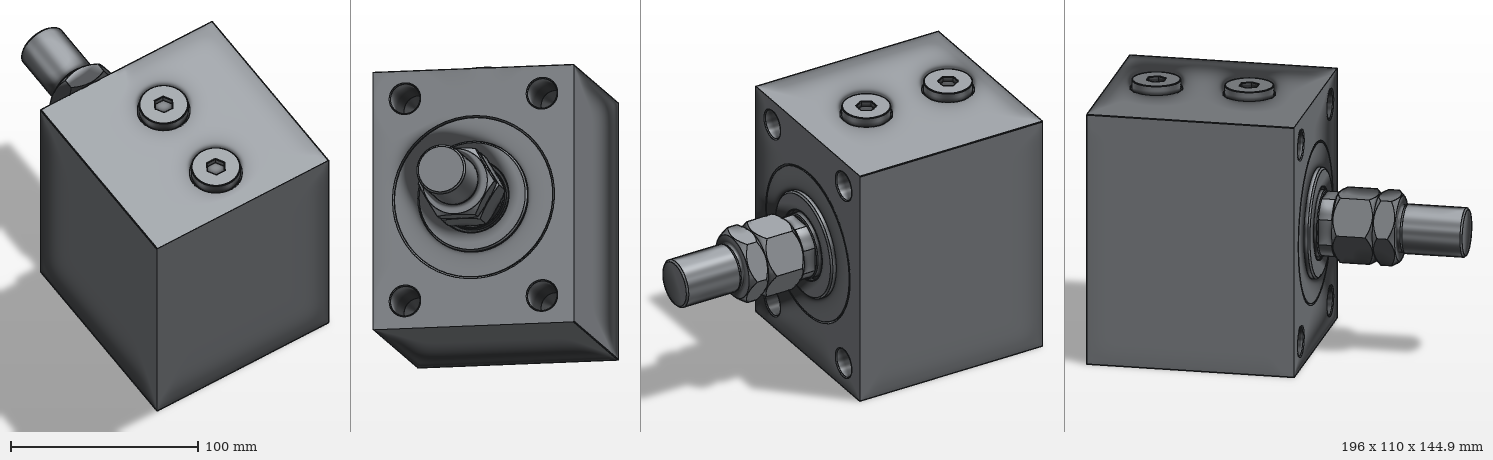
import cadquery as cq
import math


overall_length = 196.0
front_reach = 82.7
block_length = overall_length - front_reach
block_width = 110.0
block_height = 140.0
block_edge_chamfer = 0.4

mount_spacing_y = 74.9
mount_spacing_z = 110.0
mount_radius = 8.0
mount_chamfer = 0.5
mount_depth = 35.3
drill_tip_angle = 118.0

gland_radius = 43.3
gland_depth = 19.6
gland_bore_chamfer = 1.0
collar_radius = 30.0
collar_height = 3.1
collar_chamfer = 1.0
wiper_bore_radius = 19.6
wiper_bore_depth = 3.1
wiper_mouth_radius = 20.0
wiper_mouth_depth = 0.5

rod_radius = 18.0
rod_front = 4.9
rod_shoulder_chamfer = 0.5
neck_radius = 17.5
neck_front = 12.5
neck_end_chamfer = 0.4
neck_across_flats = 32.0

hex_across_flats = 36.0
hex_face_radius = 17.6
thin_hex_length = 12.2
stud_length = 35.9
stud_radius = 13.3
stud_tip_chamfer = 1.0
undercut_radius = 12.7
undercut_length = 3.1
undercut_runout = 1.2
undercut_fillet = 0.8

plug_x = (36.3, 87.0)
plug_radius = 13.1
plug_height = 4.9
plug_depth = 11.8
plug_chamfer = 0.4
socket_across_flats = 9.0
socket_depth = 3.1
socket_chamfer = 0.4
spot_face_radius = 14.1
spot_face_depth = 1.0

block_top = block_height / 2
hex_across_corners = hex_across_flats / math.cos(math.pi / 6)
socket_across_corners = socket_across_flats / math.cos(math.pi / 6)
socket_mouth_across_corners = (socket_across_flats + 2 * socket_chamfer) / math.cos(math.pi / 6)
thin_hex_x = stud_length - front_reach
thick_hex_x = thin_hex_x + thin_hex_length
thick_hex_length = -neck_front - thick_hex_x


def cylinder_x(start, length, radius):
    """Cylinder on the rod axis, from x = start toward +X."""
    return cq.Workplane("YZ", origin=(start, 0, 0)).circle(radius).extrude(length)


def revolve_about_x(outline):
    """Revolve a closed outline of (x, radius) points about the rod axis."""
    return outline.close().revolve(360, (0, 0, 0), (1, 0, 0))


def make_mounting_hole():
    """Cutter for one drilled hole with a chamfered mouth and a conical bottom, on the rod axis."""
    tip_depth = mount_radius / math.tan(math.radians(drill_tip_angle / 2))
    outline = (
        cq.Workplane("XY")
        .lineTo(0, mount_radius + mount_chamfer)
        .lineTo(mount_chamfer, mount_radius)
        .lineTo(mount_depth, mount_radius)
        .lineTo(mount_depth + tip_depth, 0)
    )
    return revolve_about_x(outline)


def make_housing():
    block = (
        cq.Workplane("XY")
        .box(block_length, block_width, block_height, centered=(False, True, True))
        .edges("|X")
        .chamfer(block_edge_chamfer)
    )

    seat = cylinder_x(0, gland_depth, gland_radius)
    mouth = revolve_about_x(
        cq.Workplane("XY")
        .lineTo(0, gland_radius + gland_bore_chamfer)
        .lineTo(gland_bore_chamfer, gland_radius)
        .lineTo(gland_bore_chamfer, 0)
    )
    block = block.cut(seat).cut(mouth)

    hole = make_mounting_hole()
    for y in (-mount_spacing_y / 2, mount_spacing_y / 2):
        for z in (-mount_spacing_z / 2, mount_spacing_z / 2):
            block = block.cut(hole.translate((0, y, z)))

    ports = cq.Workplane("XY", origin=(0, 0, block_top)).pushPoints([(x, 0) for x in plug_x])
    block = block.cut(ports.circle(plug_radius).extrude(-plug_depth))
    return block.cut(ports.circle(spot_face_radius).extrude(-spot_face_depth))


def make_gland():
    disc = cylinder_x(0, gland_depth, gland_radius)
    collar = cylinder_x(-collar_height, collar_height, collar_radius).faces("<X").chamfer(collar_chamfer)
    bore = cylinder_x(-collar_height, collar_height + gland_depth, rod_radius)
    wiper_bore = cylinder_x(-collar_height, wiper_bore_depth, wiper_bore_radius)
    wiper_mouth = cylinder_x(-collar_height, wiper_mouth_depth, wiper_mouth_radius)
    return disc.union(collar).cut(bore).cut(wiper_bore).cut(wiper_mouth)


def make_rod():
    shank = cylinder_x(-rod_front, rod_front + gland_depth, rod_radius).faces("<X").chamfer(rod_shoulder_chamfer)
    neck_length = neck_front - rod_front
    neck = cylinder_x(-neck_front, neck_length, neck_radius).faces("<X").chamfer(neck_end_chamfer)
    flats = cq.Workplane("YZ", origin=(-neck_front, 0, 0)).rect(neck_across_flats, neck_across_flats)
    return shank.union(neck.intersect(flats.extrude(neck_length)))


def make_hexagon(start, length):
    """Hexagon with two corners on the Y axis and both ends chamfered at 45 degrees."""
    prism = cq.Workplane("YZ", origin=(start, 0, 0)).polygon(6, hex_across_corners).extrude(length)
    corner_radius = hex_across_corners / 2
    chamfer = corner_radius - hex_face_radius
    envelope = cylinder_x(start, length, corner_radius).faces("<X or >X").chamfer(chamfer)
    return prism.intersect(envelope)


def make_adapter():
    """Stud with an undercut, behind it a thin and a thick hexagon that end at the rod."""
    tip_x = -front_reach
    undercut_x = thin_hex_x - undercut_length
    arc_offset = undercut_fillet * (1 - math.sqrt(0.5))
    stud = revolve_about_x(
        cq.Workplane("XY")
        .moveTo(tip_x, 0)
        .lineTo(tip_x, stud_radius - stud_tip_chamfer)
        .lineTo(tip_x + stud_tip_chamfer, stud_radius)
        .lineTo(undercut_x, stud_radius)
        .lineTo(undercut_x + undercut_runout, undercut_radius)
        .lineTo(thin_hex_x - undercut_fillet, undercut_radius)
        .threePointArc(
            (thin_hex_x - arc_offset, undercut_radius + arc_offset),
            (thin_hex_x, undercut_radius + undercut_fillet),
        )
        .lineTo(thin_hex_x, 0)
    )
    thin_hex = make_hexagon(thin_hex_x, thin_hex_length)
    thick_hex = make_hexagon(thick_hex_x, thick_hex_length)
    return stud.union(thin_hex).union(thick_hex)


def make_plug(x):
    plug = (
        cq.Workplane("XY", origin=(x, 0, block_top - plug_depth))
        .circle(plug_radius)
        .extrude(plug_depth + plug_height)
        .faces(">Z")
        .chamfer(plug_chamfer)
    )

    socket_plane = cq.Workplane("XY", origin=(x, 0, block_top + plug_height)).transformed(rotate=(0, 0, 90))
    socket = socket_plane.polygon(6, socket_across_corners).extrude(-socket_depth)
    mouth = socket_plane.polygon(6, socket_mouth_across_corners).extrude(-socket_chamfer, taper=45)
    return plug.cut(socket).cut(mouth)


housing = make_housing()
gland = make_gland()
rod = make_rod()
adapter = make_adapter()
plugs = [make_plug(x).val() for x in plug_x]

result = cq.Compound.makeCompound([housing.val(), gland.val(), rod.val(), adapter.val(), *plugs])